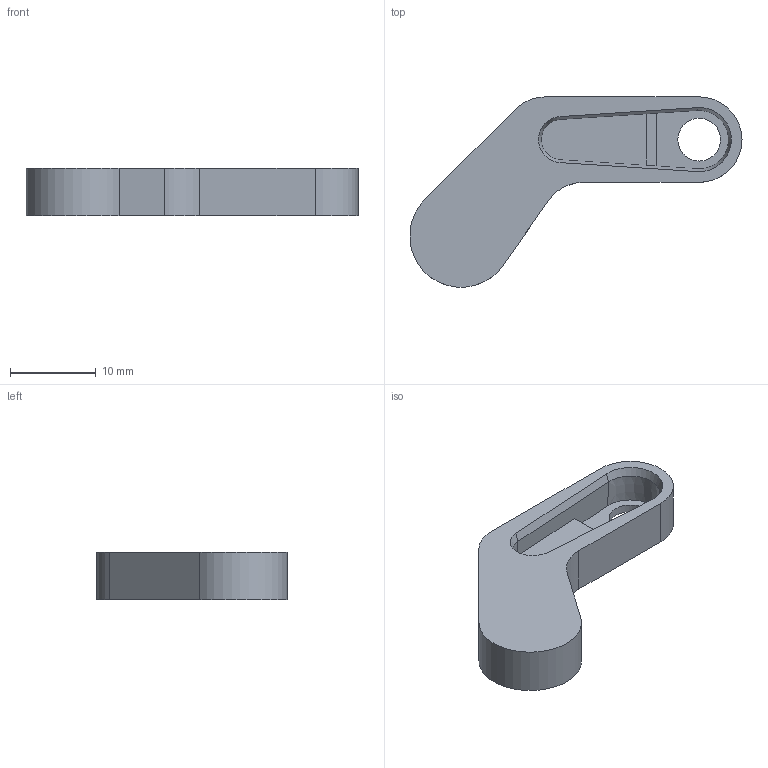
import cadquery as cq
import math

thickness = 5.5
arm_radius = 5.0
bend_x = -18.0
pivot_hole_diameter = 5.0

pad_radius = 6.0
pad_distance = 14.97
outer_edge_angle = math.radians(45)
inner_edge_angle = math.radians(55)
inner_bend_radius = 5.0

pocket_wide_radius = 3.42
pocket_narrow_radius = 2.37
pocket_narrow_x = -16.1
lip_width = 0.33
lip_depth = 1.0
floor_undercut = 0.12

deep_floor_z = 1.0
shallow_floor_z = 2.4
ramp_end_x = -5.0
ramp_length = 1.2


def polar(center, radius, angle):
    """Point at the given radius and angle from a centre."""
    return (center[0] + radius * math.cos(angle), center[1] + radius * math.sin(angle))


def make_plate():
    """Bent plate with a rounded end at the pivot and a larger round pad."""
    arm_angle = outer_edge_angle + math.asin((pad_radius - arm_radius) / pad_distance)
    bend = (bend_x, 0)
    pad = polar(bend, pad_distance, arm_angle + math.pi)

    quarter_turn = math.pi / 2
    outer_normal = outer_edge_angle + quarter_turn
    inner_normal = inner_edge_angle - quarter_turn
    pad_far_angle = (outer_edge_angle + inner_edge_angle) / 2 + math.pi

    offset_start = polar(pad, pad_radius + inner_bend_radius, inner_normal)
    inner_y = -arm_radius - inner_bend_radius
    inner_x = offset_start[0] + (inner_y - offset_start[1]) / math.tan(inner_edge_angle)
    inner = (inner_x, inner_y)
    inner_start = inner_normal + math.pi
    inner_middle = (inner_start + quarter_turn) / 2

    return (
        cq.Workplane("XY")
        .moveTo(0, arm_radius)
        .lineTo(bend_x, arm_radius)
        .threePointArc(
            polar(bend, arm_radius, (quarter_turn + outer_normal) / 2),
            polar(bend, arm_radius, outer_normal),
        )
        .lineTo(*polar(pad, pad_radius, outer_normal))
        .threePointArc(
            polar(pad, pad_radius, pad_far_angle),
            polar(pad, pad_radius, inner_normal),
        )
        .lineTo(*polar(inner, inner_bend_radius, inner_start))
        .threePointArc(
            polar(inner, inner_bend_radius, inner_middle),
            (inner_x, -arm_radius),
        )
        .lineTo(0, -arm_radius)
        .threePointArc((arm_radius, 0), (0, arm_radius))
        .close()
        .extrude(thickness)
    )


def pocket_profile(z, growth):
    """Tapered slot outline at height z, grown outward on all sides."""
    wide_radius = pocket_wide_radius + growth
    narrow_radius = pocket_narrow_radius + growth
    side_angle = math.pi - math.acos((wide_radius - narrow_radius) / abs(pocket_narrow_x))
    wide = (0, 0)
    narrow = (pocket_narrow_x, 0)
    return (
        cq.Workplane("XY", origin=(0, 0, z))
        .moveTo(*polar(wide, wide_radius, -side_angle))
        .threePointArc((wide_radius, 0), polar(wide, wide_radius, side_angle))
        .lineTo(*polar(narrow, narrow_radius, side_angle))
        .threePointArc(
            (pocket_narrow_x - narrow_radius, 0),
            polar(narrow, narrow_radius, -side_angle),
        )
        .close()
    )


def loft_pocket(bottom_z, bottom_growth, top_z, top_growth):
    """Solid between two slot outlines that differ in growth."""
    bottom = pocket_profile(bottom_z, bottom_growth).wires().val()
    top = pocket_profile(top_z, top_growth).wires().val()
    return cq.Workplane(cq.Solid.makeLoft([bottom, top], True))


def make_pocket():
    """Pocket volume: slightly undercut walls, a stepped floor and a flared lip."""
    waist_z = thickness - lip_depth
    well = loft_pocket(deep_floor_z, floor_undercut, waist_z, 0)
    lip = loft_pocket(waist_z, 0, thickness, lip_width)

    ramp_start_x = ramp_end_x - ramp_length
    step_end_x = pocket_narrow_x - arm_radius
    step = (
        cq.Workplane("XZ")
        .moveTo(step_end_x, 0)
        .lineTo(step_end_x, shallow_floor_z)
        .lineTo(ramp_start_x, shallow_floor_z)
        .lineTo(ramp_end_x, deep_floor_z)
        .lineTo(ramp_end_x, 0)
        .close()
        .extrude(arm_radius, both=True)
    )
    return well.cut(step).union(lip)


def make_pivot_hole():
    """Through hole for the pivot."""
    return cq.Workplane("XY").circle(pivot_hole_diameter / 2).extrude(thickness)


result = make_plate().cut(make_pocket()).cut(make_pivot_hole())